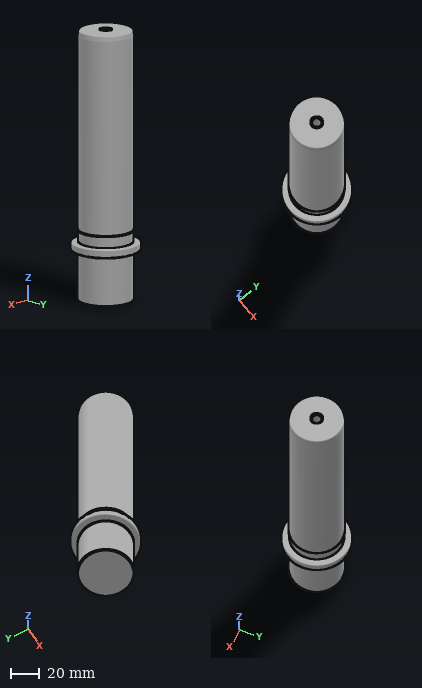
import cadquery as cq

total_length = 197.0
collar_bottom = 37.0
collar_thickness = 6.0
neck_length = 9.0
relief_width = 1.0

body_radius = 20.0
collar_radius = 25.0
neck_radius = 19.5
relief_radius = 19.5
tip_radius = 19.5

bottom_bevel_width = 0.5
bottom_bevel_height = 1.0
collar_fillet = 1.0
relief_bevel_height = 0.5
neck_bevel_height = 1.0
tip_taper_height = 4.0
tip_fillet = 1.0

hole_diameter = 6.8
hole_depth = 20.0
countersink_diameter = 8.8
countersink_angle = 90.0

collar_top = collar_bottom + collar_thickness
neck_top = collar_top + neck_length
relief_bottom = collar_bottom - relief_width
taper_start = total_length - tip_taper_height


def revolve_about_z(profile):
    """Full turn of a closed XZ half-profile around the Z axis."""
    return profile.revolve(360, (0, 0), (0, 1))


def make_shank():
    """Lower fitting diameter with a bevelled end and a relief groove under the collar."""
    profile = (
        cq.Workplane("XZ")
        .lineTo(body_radius - bottom_bevel_width, 0)
        .lineTo(body_radius, bottom_bevel_height)
        .lineTo(body_radius, relief_bottom - relief_bevel_height)
        .lineTo(relief_radius, relief_bottom)
        .lineTo(relief_radius, collar_bottom)
        .lineTo(0, collar_bottom)
        .close()
    )
    return revolve_about_z(profile)


def make_collar():
    """Round collar with both rims filleted."""
    outline = cq.Workplane("XY").workplane(offset=collar_bottom).circle(collar_radius)
    return outline.extrude(collar_thickness).faces("<Z or >Z").edges().fillet(collar_fillet)


def make_pillar():
    """Upper guide diameter with a reduced neck and a slightly tapered, rounded tip."""
    profile = (
        cq.Workplane("XZ")
        .moveTo(0, collar_top)
        .lineTo(neck_radius, collar_top)
        .lineTo(neck_radius, neck_top - neck_bevel_height)
        .lineTo(body_radius, neck_top)
        .lineTo(body_radius, taper_start)
        .lineTo(tip_radius, total_length)
        .lineTo(0, total_length)
        .close()
    )
    return revolve_about_z(profile).faces(">Z").edges().fillet(tip_fillet)


def drill_end_hole(part):
    """Countersunk blind hole on the axis of the top face."""
    top_face = part.faces(">Z").workplane()
    return top_face.cskHole(hole_diameter, countersink_diameter, countersink_angle, hole_depth)


pin = make_shank().union(make_collar()).union(make_pillar())
result = drill_end_hole(pin)